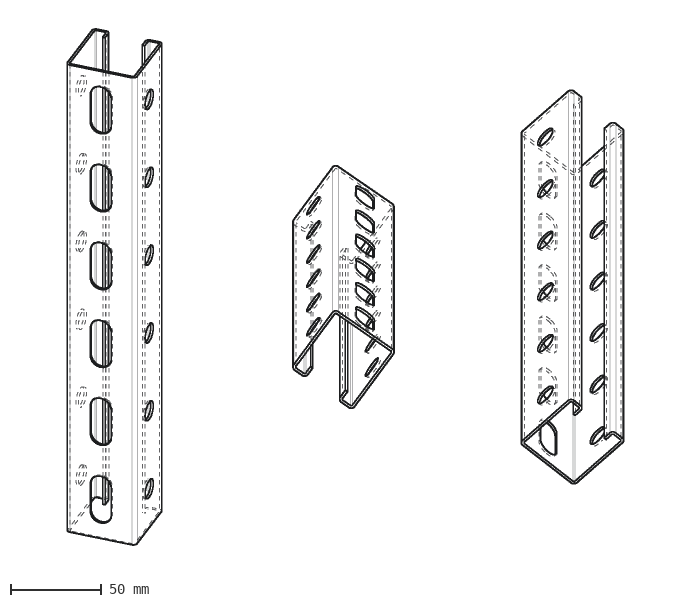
import cadquery as cq

length = 300.0
width = 41.0
depth = 41.0

thickness = 1.5
outer_bend_radius = 2.25
inner_bend_radius = outer_bend_radius - thickness
mouth_width = 22.0
lip_depth = 7.0

opening_count = 6
pitch = length / opening_count
slot_width = 12.3
slot_length = 30.0
lengthwise_angle = 90
side_hole_length = 12.0
side_hole_width = 10.5


def make_channel():
    """C-channel open toward +Y, with both mouth edges folded inward as lips."""
    side_x = width / 2
    mouth_x = mouth_width / 2
    back_y = depth / 2
    lip_end_y = back_y - lip_depth

    outer_half = [(side_x, -back_y), (side_x, back_y), (mouth_x, back_y), (mouth_x, lip_end_y)]
    inner_side_x = side_x - thickness
    inner_mouth_x = mouth_x + thickness
    inner_back_y = back_y - thickness
    inner_half = [
        (inner_mouth_x, lip_end_y),
        (inner_mouth_x, inner_back_y),
        (inner_side_x, inner_back_y),
        (inner_side_x, -inner_back_y),
    ]
    right_half = outer_half + inner_half
    left_half = [(-x, y) for x, y in reversed(right_half)]
    channel = cq.Workplane("XY").polyline(right_half + left_half).close().extrude(length)

    for bend_radius, face_half in (
        (outer_bend_radius, outer_half[:-1]),
        (inner_bend_radius, inner_half[1:]),
    ):
        for x, y in face_half:
            for bend_x in (x, -x):
                bend_edge = cq.selectors.NearestToPointSelector((bend_x, y, length / 2))
                channel = channel.edges("|Z").edges(bend_edge).fillet(bend_radius)
    return channel


def opening_points():
    """Opening centres on a workplane whose second axis runs along the channel."""
    return [(0, (i + 0.5) * pitch) for i in range(opening_count)]


def make_slot_cutters():
    """Lengthwise slots through the front web only."""
    return (
        cq.Workplane("XZ", origin=(0, -depth / 2 + thickness, 0))
        .pushPoints(opening_points())
        .slot2D(slot_length, slot_width, lengthwise_angle)
        .extrude(thickness)
    )


def make_side_hole_cutters():
    """Short crosswise slots through both side walls."""
    return (
        cq.Workplane("YZ")
        .pushPoints(opening_points())
        .slot2D(side_hole_length, side_hole_width)
        .extrude(width / 2, both=True)
    )


result = make_channel().cut(make_slot_cutters()).cut(make_side_hole_cutters())